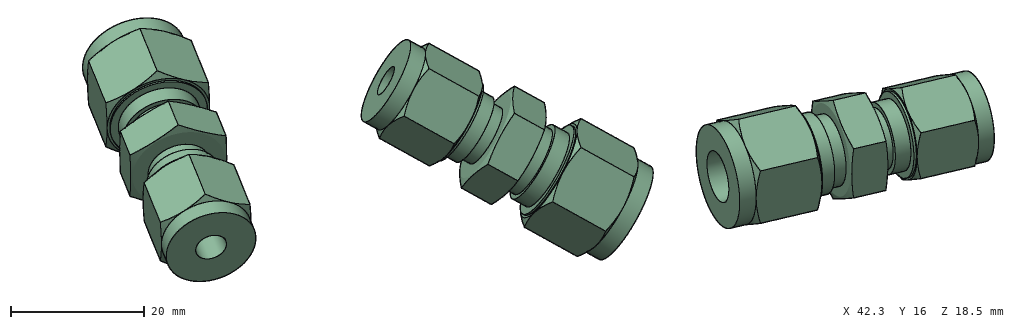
import cadquery as cq
import math

TOTAL_LENGTH = 42.3

LARGE_NUT_FLATS = 16.0
LARGE_COLLAR_LENGTH = 2.7
LARGE_HEX_LENGTH = 10.8
LARGE_WASHER_LENGTH = 0.3
LARGE_WASHER_DIAMETER = 15.2

SMALL_NUT_FLATS = 14.0
SMALL_COLLAR_LENGTH = 2.6
SMALL_HEX_LENGTH = 10.1
SMALL_WASHER_LENGTH = 0.4
SMALL_WASHER_DIAMETER = 13.4

SHOULDER_LENGTH = 2.55
LARGE_SHOULDER_DIAMETER = 12.7
SMALL_SHOULDER_DIAMETER = 11.2
LARGE_NECK_DIAMETER = 11.2
SMALL_NECK_DIAMETER = 9.6
SMALL_NECK_LENGTH = 2.0
BODY_HEX_FLATS = 15.0
BODY_HEX_LENGTH = 6.1
BODY_CHAMFER_DIAMETER = 14.4

NUT_CHAMFER_ANGLE = 30.0
BODY_CHAMFER_ANGLE = 15.0

TUBE_SOCKET_DIAMETER = 8.0
BORE_DIAMETER = 4.8

large_hex_start = LARGE_COLLAR_LENGTH
large_washer_start = large_hex_start + LARGE_HEX_LENGTH
large_shoulder_start = large_washer_start + LARGE_WASHER_LENGTH
large_neck_start = large_shoulder_start + SHOULDER_LENGTH
small_collar_start = TOTAL_LENGTH - SMALL_COLLAR_LENGTH
small_hex_start = small_collar_start - SMALL_HEX_LENGTH
small_washer_start = small_hex_start - SMALL_WASHER_LENGTH
small_shoulder_start = small_washer_start - SHOULDER_LENGTH
small_neck_start = small_shoulder_start - SMALL_NECK_LENGTH
body_hex_start = small_neck_start - BODY_HEX_LENGTH


def cylinder(start, end, diameter):
    """Round section on the X axis between two stations."""
    return cq.Workplane("YZ", origin=(start, 0, 0)).circle(diameter / 2).extrude(end - start)


def chamfered_hexagon(start, length, flats, face_diameter, chamfer_angle):
    """Hexagon with corners on +Z and -Z, its corners turned off by a cone at each end."""
    corner_radius = flats / math.sqrt(3)
    face_radius = face_diameter / 2
    setback = (corner_radius - face_radius) * math.tan(math.radians(chamfer_angle))
    end = start + length
    hexagon = (
        cq.Workplane("YZ", origin=(start, 0, 0))
        .transformed(rotate=(0, 0, 90))
        .polygon(6, 2 * corner_radius)
        .extrude(length)
    )
    envelope = (
        cq.Workplane("XY")
        .moveTo(start, 0)
        .lineTo(start, face_radius)
        .lineTo(start + setback, corner_radius)
        .lineTo(end - setback, corner_radius)
        .lineTo(end, face_radius)
        .lineTo(end, 0)
        .close()
        .revolve(360, (0, 0, 0), (1, 0, 0))
    )
    return hexagon.intersect(envelope)


def nut_hexagon(start, length, flats):
    """Nut hexagon whose end circles touch its flats."""
    return chamfered_hexagon(start, length, flats, flats, NUT_CHAMFER_ANGLE)


def large_nut():
    collar = cylinder(0, large_hex_start, LARGE_NUT_FLATS)
    hexagon = nut_hexagon(large_hex_start, LARGE_HEX_LENGTH, LARGE_NUT_FLATS)
    washer = cylinder(large_washer_start, large_shoulder_start, LARGE_WASHER_DIAMETER)
    return collar.union(hexagon).union(washer)


def small_nut():
    collar = cylinder(small_collar_start, TOTAL_LENGTH, SMALL_NUT_FLATS)
    hexagon = nut_hexagon(small_hex_start, SMALL_HEX_LENGTH, SMALL_NUT_FLATS)
    washer = cylinder(small_washer_start, small_hex_start, SMALL_WASHER_DIAMETER)
    return collar.union(hexagon).union(washer)


def body():
    large_shoulder = cylinder(large_shoulder_start, large_neck_start, LARGE_SHOULDER_DIAMETER)
    large_neck = cylinder(large_neck_start, body_hex_start, LARGE_NECK_DIAMETER)
    hexagon = chamfered_hexagon(
        body_hex_start, BODY_HEX_LENGTH, BODY_HEX_FLATS, BODY_CHAMFER_DIAMETER, BODY_CHAMFER_ANGLE
    )
    small_neck = cylinder(small_neck_start, small_shoulder_start, SMALL_NECK_DIAMETER)
    small_shoulder = cylinder(small_shoulder_start, small_washer_start, SMALL_SHOULDER_DIAMETER)
    return large_shoulder.union(large_neck).union(hexagon).union(small_neck).union(small_shoulder)


def passage():
    """Tube socket as deep as the large shoulder, joined to the through bore."""
    socket = cylinder(0, large_neck_start, TUBE_SOCKET_DIAMETER)
    bore = cylinder(0, TOTAL_LENGTH, BORE_DIAMETER)
    return socket.union(bore)


result = large_nut().union(body()).union(small_nut()).cut(passage())